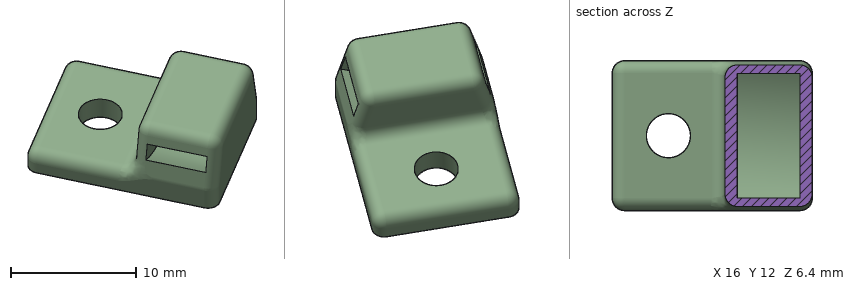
import cadquery as cq
import math

length = 16.0
width = 12.0
height = 6.4
plate_height = 2.0
block_length = 7.0
side_taper = 15.0
edge_radius = 1.0
hole_diameter = 3.5
hole_x = 4.5

tunnel_center_z = 13.0
tunnel_floor_radius = tunnel_center_z - plate_height
tunnel_thickness = 1.4

block_start = length - block_length


def make_body():
    """Flat plate with a raised block whose Y sides lean inward, all exposed edges rounded."""
    plate = cq.Workplane("XY").box(length, width, plate_height, centered=(False, True, False))
    half_base = width / 2
    half_top = half_base - (height - plate_height) * math.tan(math.radians(side_taper))
    block = (
        cq.Workplane("YZ", origin=(block_start, 0, 0))
        .polyline([
            (-half_base, 0),
            (half_base, 0),
            (half_base, plate_height),
            (half_top, height),
            (-half_top, height),
            (-half_base, plate_height),
        ])
        .close()
        .extrude(block_length)
    )
    return plate.union(block).edges("not(<Z)").fillet(edge_radius)


def make_hole():
    """Screw hole through the plate."""
    return cq.Workplane("XY").center(hole_x, 0).circle(hole_diameter / 2).extrude(plate_height)


def make_tunnel():
    """Strap tunnel dipping through the block from one Y side to the other."""
    tunnel_length = block_length - 2 * edge_radius
    ring = (
        cq.Workplane("YZ", origin=(block_start + edge_radius, 0, tunnel_center_z))
        .circle(tunnel_floor_radius)
        .circle(tunnel_floor_radius - tunnel_thickness)
        .extrude(tunnel_length)
    )
    return ring


result = make_body().cut(make_hole()).cut(make_tunnel())